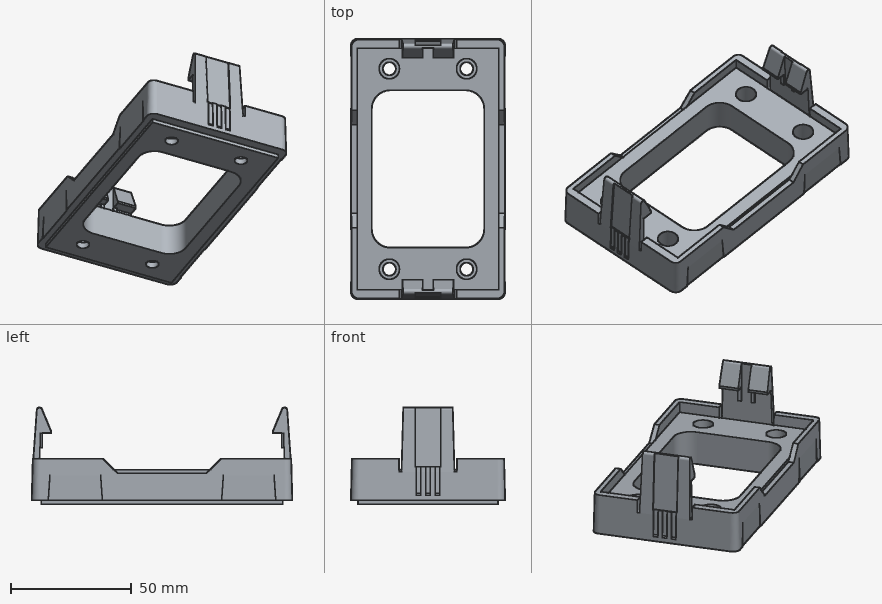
import math

import cadquery as cq

BODY_WIDTH = 64.01
BODY_LENGTH = 108.01
BODY_CORNER_RADIUS = 3.2
FOOT_WIDTH = 58.0
FOOT_LENGTH = 100.0
FOOT_HEIGHT = 1.75
RIM_Z = 19.0
WALL_DRAFT_DEG = 1.5
WALL_DRAFT = math.tan(math.radians(WALL_DRAFT_DEG))

FLOOR_Z = 14.4
CAVITY_WIDTH = 58.6
CAVITY_LENGTH = 100.0

WINDOW_WIDTH = 46.4
WINDOW_LENGTH = 65.0
WINDOW_CORNER_RADIUS = 7.5

HOLE_SPACING_X = 32.0
HOLE_SPACING_Y = 83.0
HOLE_DIAMETER = 5.3
COUNTERBORE_DIAMETER = 8.4
SCREW_SEAT_Z = 2.85

DIP_Z = 13.0
DIP_HALF_LENGTH = 18.4
DIP_TOP_HALF_LENGTH = DIP_HALF_LENGTH + RIM_Z - DIP_Z

RECESS_TOP_Z = 12.1
RECESS_CENTER_Y = 35.9
RECESS_TOP_LENGTH = 21.0
RECESS_BOTTOM_LENGTH = 22.4
RECESS_X = BODY_WIDTH / 2 - (RECESS_TOP_Z - FOOT_HEIGHT) * WALL_DRAFT

SLOT_WIDTH = 24.0
SLOT_Z = 13.5
SLOT_CORNER_RADIUS = 0.5
ARM_BASE_HALF_WIDTH = 11.0
ARM_TOP_Z = 40.19
ARM_INNER_BASE_Y = 50.75
ARM_INNER_LEAN = 0.023
ARM_OUTER_BASE_Y = BODY_LENGTH / 2 - (SLOT_Z - FOOT_HEIGHT) * WALL_DRAFT
ARM_OUTER_LEAN = 0.07

HOOK_TIP_Y = 45.95
HOOK_BOTTOM_Z = 29.5
HOOK_TIP_HEIGHT = 1.0
HOOK_FACE_ANGLE = math.radians(22.5)
HOOK_GAP = 4.4
RIB_WIDTH = 1.5
RIB_INNER_Y = 49.5
RIB_BOTTOM_Z = 23.4

PANEL_WIDTH = 10.46
PANEL_DEPTH = 0.65
PANEL_BOTTOM_Z = 15.7
GROOVE_COUNT = 3
GROOVE_PITCH = 3.95
GROOVE_WIDTH = 2.0
GROOVE_DEPTH = 0.35
GROOVE_BOTTOM_Z = 3.7
GROOVE_RAMP_HEIGHT = 0.9

RECESS_CUT_THICKNESS = 5.0


def arm_inner_y(z):
    return ARM_INNER_BASE_Y - (z - SLOT_Z) * ARM_INNER_LEAN


def arm_outer_y(z):
    return ARM_OUTER_BASE_Y - (z - SLOT_Z) * ARM_OUTER_LEAN


def box_between(x_range, y_range, z_range):
    size = [high - low for low, high in (x_range, y_range, z_range)]
    corner = (x_range[0], y_range[0], z_range[0])
    return cq.Workplane("XY").box(*size, centered=False).translate(corner)


def extrude_along_x(profile, width, center_x=0.0):
    """Close a profile drawn in (Y, Z) and extrude it evenly about center_x."""
    return profile.close().extrude(width / 2, both=True).translate((center_x, 0, 0))


def both_ends(body):
    """The body together with its copy turned half a turn about Z."""
    return body.union(body.rotate((0, 0, 0), (0, 0, 1), 180))


def make_tray():
    foot = cq.Workplane("XY").rect(FOOT_WIDTH, FOOT_LENGTH).extrude(FOOT_HEIGHT)
    outline = cq.Sketch().rect(BODY_WIDTH, BODY_LENGTH).vertices().fillet(BODY_CORNER_RADIUS)
    walls = (
        cq.Workplane("XY", origin=(0, 0, FOOT_HEIGHT))
        .placeSketch(outline)
        .extrude(RIM_Z - FOOT_HEIGHT, taper=WALL_DRAFT_DEG)
    )
    cavity = (
        cq.Workplane("XY", origin=(0, 0, FLOOR_Z))
        .rect(CAVITY_WIDTH, CAVITY_LENGTH)
        .extrude(RIM_Z - FLOOR_Z)
    )
    window = (
        cq.Workplane("XY")
        .rect(WINDOW_WIDTH, WINDOW_LENGTH)
        .extrude(RIM_Z)
        .edges("|Z")
        .fillet(WINDOW_CORNER_RADIUS)
    )
    return foot.union(walls).cut(cavity).cut(window)


def make_screw_holes():
    def cylinders(diameter, bottom_z):
        return (
            cq.Workplane("XY", origin=(0, 0, bottom_z))
            .rarray(HOLE_SPACING_X, HOLE_SPACING_Y, 2, 2)
            .circle(diameter / 2)
            .extrude(RIM_Z - bottom_z)
        )

    return cylinders(HOLE_DIAMETER, 0).union(cylinders(COUNTERBORE_DIAMETER, SCREW_SEAT_Z))


def make_wall_dips():
    profile = cq.Workplane("YZ").polyline([
        (-DIP_HALF_LENGTH, DIP_Z),
        (DIP_HALF_LENGTH, DIP_Z),
        (DIP_TOP_HALF_LENGTH, RIM_Z),
        (-DIP_TOP_HALF_LENGTH, RIM_Z),
    ])
    across = extrude_along_x(profile, BODY_WIDTH)
    inside = box_between(
        (-CAVITY_WIDTH / 2, CAVITY_WIDTH / 2),
        (-DIP_TOP_HALF_LENGTH, DIP_TOP_HALF_LENGTH),
        (DIP_Z, RIM_Z),
    )
    return across.cut(inside)


def make_side_recess(side, center_y):
    profile = cq.Workplane("YZ").polyline([
        (center_y - RECESS_BOTTOM_LENGTH / 2, FOOT_HEIGHT),
        (center_y + RECESS_BOTTOM_LENGTH / 2, FOOT_HEIGHT),
        (center_y + RECESS_TOP_LENGTH / 2, RECESS_TOP_Z),
        (center_y - RECESS_TOP_LENGTH / 2, RECESS_TOP_Z),
    ])
    return extrude_along_x(profile, RECESS_CUT_THICKNESS, side * (RECESS_X + RECESS_CUT_THICKNESS / 2))


def make_arm_slot():
    """Notch through the end wall, reaching a little below the floor and behind the arm."""
    half_width = SLOT_WIDTH / 2
    y_range = (CAVITY_LENGTH / 2, BODY_LENGTH / 2)
    return (
        box_between((-half_width, half_width), y_range, (SLOT_Z, RIM_Z))
        .faces("<Z")
        .edges("|Y")
        .fillet(SLOT_CORNER_RADIUS)
    )


def arm_crown_circle():
    """Center (Y, Z) and radius of the round top, tangent to the outer face and the hook face.

    Each face is held as outward normal . point = offset in the (Y, Z) plane. The circle is
    inside both faces by its radius and its highest point is at ARM_TOP_Z, which leaves two
    linear equations for the center Y and the radius.
    """
    outer_angle = math.atan(ARM_OUTER_LEAN)
    outer_offset = ARM_OUTER_BASE_Y * math.cos(outer_angle) + SLOT_Z * math.sin(outer_angle)
    hook_offset = (
        (HOOK_BOTTOM_Z + HOOK_TIP_HEIGHT) * math.sin(HOOK_FACE_ANGLE)
        - HOOK_TIP_Y * math.cos(HOOK_FACE_ANGLE)
    )
    outer_cos = math.cos(outer_angle)
    hook_cos = math.cos(HOOK_FACE_ANGLE)
    outer_share = 1 - math.sin(outer_angle)
    hook_share = 1 - math.sin(HOOK_FACE_ANGLE)
    outer_rest = outer_offset - ARM_TOP_Z * math.sin(outer_angle)
    hook_rest = hook_offset - ARM_TOP_Z * math.sin(HOOK_FACE_ANGLE)
    radius = (outer_rest * hook_cos + hook_rest * outer_cos) / (
        outer_share * hook_cos + hook_share * outer_cos
    )
    center_y = (outer_rest - radius * outer_share) / outer_cos
    return center_y, ARM_TOP_Z - radius, radius


def make_arm_blank():
    """Leaning arm with one full-width hook, its sides drafted towards the top."""
    crown_y, crown_z, crown_radius = arm_crown_circle()
    outer_angle = math.atan(ARM_OUTER_LEAN)
    crown_outer = (
        crown_y + crown_radius * math.cos(outer_angle),
        crown_z + crown_radius * math.sin(outer_angle),
    )
    crown_inner = (
        crown_y - crown_radius * math.cos(HOOK_FACE_ANGLE),
        crown_z + crown_radius * math.sin(HOOK_FACE_ANGLE),
    )
    profile = (
        cq.Workplane("YZ")
        .moveTo(ARM_INNER_BASE_Y, SLOT_Z)
        .lineTo(ARM_OUTER_BASE_Y, SLOT_Z)
        .lineTo(*crown_outer)
        .threePointArc((crown_y, ARM_TOP_Z), crown_inner)
        .lineTo(HOOK_TIP_Y, HOOK_BOTTOM_Z + HOOK_TIP_HEIGHT)
        .lineTo(HOOK_TIP_Y, HOOK_BOTTOM_Z)
        .lineTo(arm_inner_y(HOOK_BOTTOM_Z), HOOK_BOTTOM_Z)
    )
    top_half_width = ARM_BASE_HALF_WIDTH - (ARM_TOP_Z - SLOT_Z) * WALL_DRAFT
    drafted_sides = (
        cq.Workplane("XZ")
        .polyline([
            (-ARM_BASE_HALF_WIDTH, SLOT_Z),
            (ARM_BASE_HALF_WIDTH, SLOT_Z),
            (top_half_width, ARM_TOP_Z),
            (-top_half_width, ARM_TOP_Z),
        ])
        .close()
        .extrude(-BODY_LENGTH / 2)
    )
    return extrude_along_x(profile, 2 * ARM_BASE_HALF_WIDTH).intersect(drafted_sides)


def make_hook_gap():
    profile = cq.Workplane("YZ").polyline([
        (HOOK_TIP_Y, HOOK_BOTTOM_Z),
        (arm_inner_y(HOOK_BOTTOM_Z), HOOK_BOTTOM_Z),
        (arm_inner_y(ARM_TOP_Z), ARM_TOP_Z),
        (HOOK_TIP_Y, ARM_TOP_Z),
    ])
    return extrude_along_x(profile, HOOK_GAP)


def make_hook_rib(side):
    profile = cq.Workplane("YZ").polyline([
        (RIB_INNER_Y, RIB_BOTTOM_Z),
        (arm_inner_y(RIB_BOTTOM_Z), RIB_BOTTOM_Z),
        (arm_inner_y(HOOK_BOTTOM_Z), HOOK_BOTTOM_Z),
        (RIB_INNER_Y, HOOK_BOTTOM_Z),
    ])
    return extrude_along_x(profile, RIB_WIDTH, side * (HOOK_GAP + RIB_WIDTH) / 2)


def make_outer_panel():
    profile = cq.Workplane("YZ").polyline([
        (arm_outer_y(PANEL_BOTTOM_Z) - PANEL_DEPTH, PANEL_BOTTOM_Z),
        (BODY_LENGTH / 2, PANEL_BOTTOM_Z),
        (BODY_LENGTH / 2, ARM_TOP_Z),
        (arm_outer_y(ARM_TOP_Z) - PANEL_DEPTH, ARM_TOP_Z),
    ])
    return extrude_along_x(profile, PANEL_WIDTH)


def make_groove(center_x):
    """Groove with its floor following the end wall and the arm, and a ramp at its foot."""
    outside_y = BODY_LENGTH / 2
    ramp_top_z = GROOVE_BOTTOM_Z + GROOVE_RAMP_HEIGHT
    ramp_top_y = outside_y - (ramp_top_z - FOOT_HEIGHT) * WALL_DRAFT - GROOVE_DEPTH
    profile = cq.Workplane("YZ").polyline([
        (ramp_top_y, ramp_top_z),
        (outside_y, GROOVE_BOTTOM_Z),
        (outside_y, PANEL_BOTTOM_Z),
        (arm_outer_y(PANEL_BOTTOM_Z) - GROOVE_DEPTH, PANEL_BOTTOM_Z),
        (ARM_OUTER_BASE_Y - GROOVE_DEPTH, SLOT_Z),
    ])
    return extrude_along_x(profile, GROOVE_WIDTH, center_x)


def make_arm():
    arm = make_arm_blank().cut(make_hook_gap())
    for side in (-1, 1):
        arm = arm.union(make_hook_rib(side))
    return arm.cut(make_outer_panel())


result = make_tray().cut(make_screw_holes()).cut(make_wall_dips())
for side in (-1, 1):
    for end in (-1, 1):
        result = result.cut(make_side_recess(side, end * RECESS_CENTER_Y))
result = result.cut(both_ends(make_arm_slot())).union(both_ends(make_arm()))
for index in range(GROOVE_COUNT):
    groove_x = (index - (GROOVE_COUNT - 1) / 2) * GROOVE_PITCH
    result = result.cut(both_ends(make_groove(groove_x)))